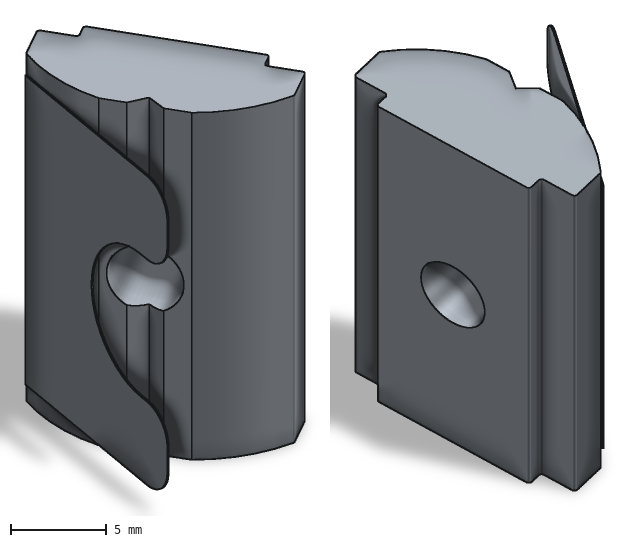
import cadquery as cq
import math

length = 22.0
half_width = 14.5 / 2
step_half_width = 5.02
step_height = 1.0
edge_radius = 0.2
side_end_depth = 3.21
body_depth = 6.15
nose_half_width = 2.5
notch_half_width = 1.0
notch_depth = 0.75
hole_diameter = 4.18

overall_depth = 11.85
sheet_tip_x = 2.82
sheet_angle = 40.0
sheet_length = 13.02
sheet_half_height = 9.8
sheet_thickness = 0.1
lug_radius = 1.8
bay_radius = 4.5
bay_depth = 6.95


def flank_midpoint():
    """Middle of the right flank arc, whose centre lies on the symmetry plane."""
    center_y = (half_width**2 + side_end_depth**2 - nose_half_width**2 - body_depth**2) / (
        2 * (body_depth - side_end_depth)
    )
    radius = math.hypot(nose_half_width, body_depth + center_y)
    x = (half_width + nose_half_width) / 2
    return x, center_y - math.sqrt(radius**2 - x**2)


def make_body():
    mid_x, mid_y = flank_midpoint()
    half_profile = (
        cq.Workplane("XY")
        .moveTo(0, 0)
        .lineTo(step_half_width, 0)
        .lineTo(step_half_width, -step_height)
        .lineTo(half_width, -step_height)
        .lineTo(half_width, -side_end_depth)
        .threePointArc((mid_x, mid_y), (nose_half_width, -body_depth))
        .lineTo(notch_half_width, -body_depth)
        .lineTo(0, notch_depth - body_depth)
        .close()
    )
    half = half_profile.extrude(length / 2, both=True)
    rounded_corners = cq.selectors.BoxSelector(
        (step_half_width - edge_radius, -side_end_depth - edge_radius, -length),
        (half_width + edge_radius, edge_radius, length),
    )
    half = half.edges("|Z").edges(rounded_corners).fillet(edge_radius)
    body = half.union(half.mirror("YZ"))
    hole = cq.Workplane("XZ").circle(hole_diameter / 2).extrude(body_depth)
    return body.cut(hole)


def make_sheet():
    angle = math.radians(sheet_angle)
    tip_y = sheet_thickness * math.cos(angle) - overall_depth
    plane = cq.Plane(
        origin=(sheet_tip_x, tip_y, 0),
        xDir=(math.cos(angle), -math.sin(angle), 0),
        normal=(-math.sin(angle), -math.cos(angle), 0),
    )
    blank = (
        cq.Workplane(plane)
        .center(-sheet_length / 2, 0)
        .rect(sheet_length, 2 * sheet_half_height)
        .extrude(sheet_thickness)
    )
    bay_center = bay_radius - bay_depth
    bay = (
        cq.Workplane(plane)
        .moveTo(0, bay_radius)
        .lineTo(bay_center, bay_radius)
        .threePointArc((-bay_depth, 0), (bay_center, -bay_radius))
        .lineTo(0, -bay_radius)
        .close()
        .extrude(sheet_thickness)
    )
    corner_margin = 2 * sheet_thickness
    tip_corners = cq.selectors.BoxSelector(
        (sheet_tip_x - corner_margin, -overall_depth - corner_margin, -length),
        (sheet_tip_x + corner_margin, -overall_depth + corner_margin, length),
    )
    return blank.cut(bay).edges("not |Z").edges(tip_corners).fillet(lug_radius)


result = make_body().union(make_sheet())